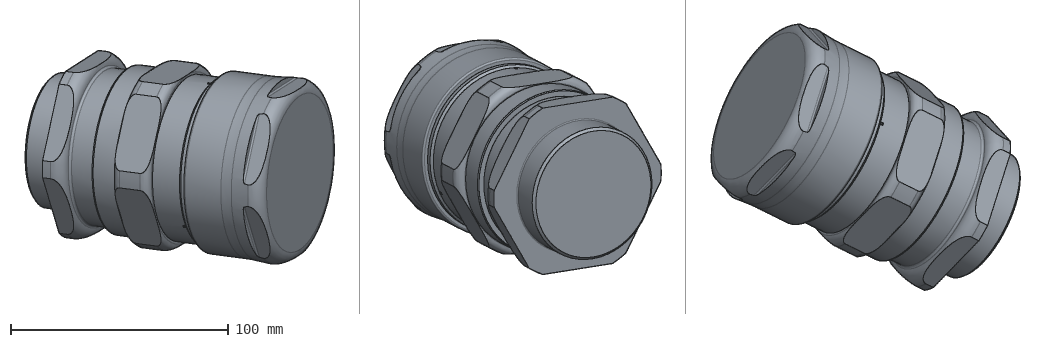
import cadquery as cq
import math


HEX_FLATS = 80.0
HEX_CORNERS = 88.0
CORNER_RADIUS = HEX_CORNERS / 2
FLAT_RADIUS = HEX_FLATS / 2

ENTRY_DIAMETER = 63.0
ENTRY_CHAMFER = 1.3
ENTRY_LENGTH = 15.0
ENTRY_ROOT_FILLET = 0.5
ENTRY_HEX_LENGTH = 10.3
NECK_DIAMETER = 73.3
NECK_FILLET = 1.1

BARREL_START = 37.9
SKIRT_DIAMETER = 79.2
SKIRT_FACE_DIAMETER = 78.5
SKIRT_CHAMFER_LENGTH = 0.8
BARREL_HEX_START = 49.9
BARREL_HEX_END = 68.3
TUBE_DIAMETER = 77.7
TUBE_END = 82.0
COLLAR_DIAMETER = 80.0
COLLAR_CHAMFER = (COLLAR_DIAMETER - TUBE_DIAMETER) / 2

NOTCH_COUNT = 3
NOTCH_FIRST_ANGLE = 96.0
NOTCH_LENGTH = 1.5
NOTCH_WIDTH = 1.0
NOTCH_DEPTH = 0.5

NUT_START = 85.5
NUT_END = 125.2
NUT_DIAMETER = 85.0
NUT_EDGE_FILLET = 0.9
FLARE_START = 104.5
FLARE_CONE_START = 109.9
FLARE_ANGLE = 5.0
NUT_END_ROUNDING = 6.5
NUT_FLAT_START = 115.9
NUT_FLAT_FILLET = 0.8


def revolve_about_x(profile):
    """Turn a closed half profile, drawn in XY above the axis, around X."""
    return profile.close().revolve(360, (0, 0, 0), (1, 0, 0))


def disc(start, end, diameter):
    """Solid cylinder on the X axis."""
    return cq.Workplane("YZ", origin=(start, 0, 0)).circle(diameter / 2).extrude(end - start)


def hex_prism(start, end):
    """Hexagon with two flats facing +Z and -Z."""
    sharp_corners = HEX_FLATS / math.cos(math.radians(30))
    return cq.Workplane("YZ", origin=(start, 0, 0)).polygon(6, sharp_corners).extrude(end - start)


def make_entry():
    """Plain round entry, hexagon with a rounded back edge, and the neck up to the barrel."""
    hex_end = ENTRY_LENGTH + ENTRY_HEX_LENGTH
    hex_rounding = CORNER_RADIUS - NECK_DIAMETER / 2 - NECK_FILLET
    plug = disc(0, ENTRY_LENGTH, ENTRY_DIAMETER).faces("<X").chamfer(ENTRY_CHAMFER)
    hex_blank = disc(ENTRY_LENGTH, hex_end, HEX_CORNERS).faces(">X").edges().fillet(hex_rounding)
    flange = hex_blank.intersect(hex_prism(ENTRY_LENGTH, hex_end))
    neck = disc(hex_end, BARREL_START, NECK_DIAMETER)

    entry_radius = ENTRY_DIAMETER / 2
    root_top = entry_radius + ENTRY_ROOT_FILLET
    root = revolve_about_x(
        cq.Workplane("XY")
        .moveTo(ENTRY_LENGTH - ENTRY_ROOT_FILLET, 0)
        .lineTo(ENTRY_LENGTH - ENTRY_ROOT_FILLET, entry_radius)
        .radiusArc((ENTRY_LENGTH, root_top), -ENTRY_ROOT_FILLET)
        .lineTo(ENTRY_LENGTH, 0)
    )
    neck_radius = NECK_DIAMETER / 2
    neck_root = revolve_about_x(
        cq.Workplane("XY")
        .moveTo(hex_end, 0)
        .lineTo(hex_end, neck_radius + NECK_FILLET)
        .radiusArc((hex_end + NECK_FILLET, neck_radius), -NECK_FILLET)
        .lineTo(hex_end + NECK_FILLET, 0)
    )
    return plug.union(root).union(flange).union(neck_root).union(neck)


def cut_notches(barrel):
    """Small notches evenly spaced around the tube, ending at the collar."""
    tube_radius = TUBE_DIAMETER / 2
    notch = (
        cq.Workplane("XY")
        .box(NOTCH_LENGTH, 2 * NOTCH_DEPTH, NOTCH_WIDTH)
        .translate((TUBE_END - NOTCH_LENGTH / 2, tube_radius, 0))
    )
    for index in range(NOTCH_COUNT):
        angle = NOTCH_FIRST_ANGLE + index * 360 / NOTCH_COUNT
        barrel = barrel.cut(notch.rotate((0, 0, 0), (1, 0, 0), angle))
    return barrel


def make_barrel():
    """Skirt, middle hexagon with both edges rounded, tube and chamfered collar."""
    skirt = revolve_about_x(
        cq.Workplane("XY")
        .moveTo(BARREL_START, 0)
        .lineTo(BARREL_START, SKIRT_FACE_DIAMETER / 2)
        .lineTo(BARREL_START + SKIRT_CHAMFER_LENGTH, SKIRT_DIAMETER / 2)
        .lineTo(BARREL_HEX_START, SKIRT_DIAMETER / 2)
        .lineTo(BARREL_HEX_START, 0)
    )
    hex_rounding = CORNER_RADIUS - FLAT_RADIUS
    hex_blank = disc(BARREL_HEX_START, BARREL_HEX_END, HEX_CORNERS)
    hex_blank = hex_blank.faces("<X or >X").edges().fillet(hex_rounding)
    middle_hex = hex_blank.intersect(hex_prism(BARREL_HEX_START, BARREL_HEX_END))
    tube = disc(BARREL_HEX_END, TUBE_END, TUBE_DIAMETER)
    collar = disc(TUBE_END, NUT_START, COLLAR_DIAMETER).faces("<X").chamfer(COLLAR_CHAMFER)
    return cut_notches(skirt.union(middle_hex).union(tube).union(collar))


def cut_nut_flats(nut):
    """Six wrench flats at the outer end of the nut, filleted into their shoulders."""
    length = NUT_END - NUT_FLAT_START
    depth = CORNER_RADIUS - FLAT_RADIUS
    cutter = (
        cq.Workplane("XY")
        .box(length, HEX_CORNERS, depth)
        .translate((NUT_FLAT_START + length / 2, 0, FLAT_RADIUS + depth / 2))
        .edges("<X and <Z")
        .fillet(NUT_FLAT_FILLET)
    )
    for side in range(6):
        nut = nut.cut(cutter.rotate((0, 0, 0), (1, 0, 0), side * 60))
    return nut


def make_nut():
    """Round nut that flares slightly towards its rounded, flatted outer end."""
    slope = math.tan(math.radians(FLARE_ANGLE))
    body_radius = NUT_DIAMETER / 2
    rounding_start = NUT_END - NUT_END_ROUNDING
    flare_rise = (FLARE_CONE_START - FLARE_START) * math.tan(math.radians(FLARE_ANGLE / 2))
    cone_start_radius = body_radius + flare_rise
    rim_radius = cone_start_radius + (rounding_start - FLARE_CONE_START) * slope
    blank = revolve_about_x(
        cq.Workplane("XY")
        .moveTo(NUT_START, 0)
        .lineTo(NUT_START, body_radius - NUT_EDGE_FILLET)
        .radiusArc((NUT_START + NUT_EDGE_FILLET, body_radius), NUT_EDGE_FILLET)
        .lineTo(FLARE_START, body_radius)
        .tangentArcPoint((FLARE_CONE_START, cone_start_radius), relative=False)
        .lineTo(rounding_start, rim_radius)
        .radiusArc((NUT_END, rim_radius - NUT_END_ROUNDING), NUT_END_ROUNDING)
        .lineTo(NUT_END, 0)
    )
    return cut_nut_flats(blank)


entry = make_entry()
barrel = make_barrel()
nut = make_nut()

result = cq.Compound.makeCompound([body.solids().val() for body in (entry, barrel, nut)])